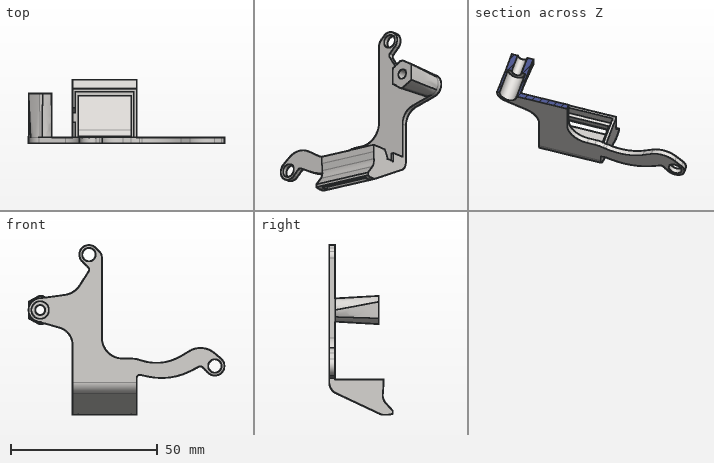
import cadquery as cq
import math


PLATE_THICKNESS = 2.0
PLATE_EDGE_X = 21.1
LOBE_RADIUS = 4.0
EYE_RADIUS = 3.3
EYE_HOLE_DIAMETER = 4.5
TOP_EYE = (16.63, 18.9)
SIDE_EYE = (59.6, -19.1)

PILLAR_END_Y = 17.0
PILLAR_HALF_WIDTH = 3.93
PILLAR_SIDE_HALF_HEIGHT = 2.83
PILLAR_TOP_HALF_HEIGHT = 4.86
PILLAR_TOP_FLAT_X = (-0.24, 0.84)
SCREW_DIAMETER = 3.3
SCREW_HEAD_DIAMETER = 6.0
SCREW_HEAD_DEPTH = 10.0

DUCT_LEFT_X = 11.0
DUCT_WIDTH = 22.0
DUCT_RIGHT_X = DUCT_LEFT_X + DUCT_WIDTH
DUCT_TOP_Z = -23.64
DUCT_BOTTOM_Z = -35.76
DUCT_BACK_Y = 18.55
RIM_WALL = 1.0
LEDGE_INSET = 2.0
SEAT_DEPTH = 3.0
FLOOR_SLOPE = math.radians(25.2)
FLOOR_THICKNESS = 1.0
FLOOR_END_Y = 17.9
BEND_RADIUS = 4.17
WAIST = (18.37, -28.5)
WAIST_CURVE = (18.45, -30.05)
FLARE_START = (19.1, -31.45)
TAPER_START_Z = -26.0
NOZZLE_TIP_Y = 21.74
NOZZLE_TIP_TOP_Z = -34.4
NOZZLE_TIP_LOW_Z = -35.4
NOZZLE_TIP_CURVE = (20.9, -35.66)
NOZZLE_FLAT_END_Y = 20.0

LEDGE_Z = DUCT_TOP_Z - SEAT_DEPTH
PASSAGE_FRONT_Y = 2.42
PASSAGE_FLOOR_START_Y = 4.67
PASSAGE_BACK_Y = 16.13
PASSAGE_BACK_CURVE = (16.95, -29.5)
PASSAGE_FLARE_START = (18.5, -32.0)
OUTLET_BACK_Y = 20.95

NOTCH_FRONT_Y = 7.22
NOTCH_FLOOR_BACK_Y = 10.48
NOTCH_TOP_BACK_Y = 12.14

CONVEX = 1
CONCAVE = -1


def polar(center, radius, angle):
    """Point at a signed radius and an angle from a centre."""
    return (center[0] + radius * math.cos(angle), center[1] + radius * math.sin(angle))


def tangent_normal(first, second):
    """Angle of the outward normal of the straight edge that joins two rounded corners."""
    (x0, z0), radius0, side0 = first
    (x1, z1), radius1, side1 = second
    distance = math.hypot(x1 - x0, z1 - z0)
    offset = (side0 * radius0 - side1 * radius1) / distance
    return math.atan2(z1 - z0, x1 - x0) + math.acos(offset)


def rounded_outline(corners):
    """Closed clockwise XZ outline of arcs joined by their common tangent lines."""
    count = len(corners)
    normals = [tangent_normal(corners[i], corners[(i + 1) % count]) for i in range(count)]
    outline = None
    for i, (center, radius, side) in enumerate(corners):
        start_angle = normals[i - 1]
        sweep = (side * (start_angle - normals[i])) % (2 * math.pi)
        start = polar(center, side * radius, start_angle)
        middle = polar(center, side * radius, start_angle - side * sweep / 2)
        end = polar(center, side * radius, normals[i])
        if outline is None:
            outline = cq.Workplane("XZ").moveTo(*start)
        else:
            outline = outline.lineTo(*start)
        if radius > 0:
            outline = outline.threePointArc(middle, end)
    return outline.close()


def make_plate():
    upright_corner_radius = 3.0
    elbow_radius = 7.0
    lower_fillet_radius = 6.0
    arm_fillet_radius = 1.0
    corners = [
        ((0, 0), LOBE_RADIUS, CONVEX),
        ((7.54, 12.14), 7.0, CONCAVE),
        ((15.69, 13.77), 1.0, CONCAVE),
        (TOP_EYE, EYE_RADIUS, CONVEX),
        ((PLATE_EDGE_X - upright_corner_radius, 17.85), upright_corner_radius, CONVEX),
        ((PLATE_EDGE_X + elbow_radius, -9.5), elbow_radius, CONCAVE),
        ((30.85, -26.5), 10.0, CONVEX),
        ((39.65, -1.7), 16.3, CONCAVE),
        ((54.7, -20.2), 7.3, CONVEX),
        (SIDE_EYE, EYE_RADIUS, CONVEX),
        ((54.67, -20.25), 1.0, CONCAVE),
        ((41.4, -1.6), 21.65, CONVEX),
        ((DUCT_RIGHT_X + arm_fillet_radius, -23.15), arm_fillet_radius, CONCAVE),
        ((DUCT_RIGHT_X, DUCT_TOP_Z), 0, CONVEX),
        ((DUCT_LEFT_X, DUCT_TOP_Z), 0, CONVEX),
        ((DUCT_LEFT_X - lower_fillet_radius, -11.85), lower_fillet_radius, CONCAVE),
    ]
    return rounded_outline(corners).extrude(-PLATE_THICKNESS)


def make_pillar():
    """Tapered pillar from a round foot on the plate to an eight-sided end."""
    flat_left, flat_right = PILLAR_TOP_FLAT_X
    upper_half = [
        (PILLAR_HALF_WIDTH, PILLAR_SIDE_HALF_HEIGHT),
        (flat_right, PILLAR_TOP_HALF_HEIGHT),
        (flat_left, PILLAR_TOP_HALF_HEIGHT),
        (-PILLAR_HALF_WIDTH, PILLAR_SIDE_HALF_HEIGHT),
    ]
    lower_half = [(x, -z) for x, z in reversed(upper_half)]
    return (
        cq.Workplane("XZ", origin=(0, PLATE_THICKNESS, 0))
        .circle(LOBE_RADIUS)
        .workplane(offset=PLATE_THICKNESS - PILLAR_END_Y)
        .polyline(upper_half + lower_half)
        .close()
        .loft(combine=True)
    )


def drill(diameter, center, depth):
    """Round cutter along Y that starts at the front face of the plate."""
    return cq.Workplane("XZ").center(*center).circle(diameter / 2).extrude(-depth)


def duct_section(left_x):
    """YZ sketch plane at the given X."""
    return cq.Workplane("YZ", origin=(left_x, 0, 0))


def floor_height(y):
    """Z of the outer sloping face of the duct floor."""
    return DUCT_BOTTOM_Z + (FLOOR_END_Y - y) * math.tan(FLOOR_SLOPE)


def make_duct_body():
    bend_end_y = BEND_RADIUS * (1 - math.sin(FLOOR_SLOPE))
    bend_end_z = floor_height(bend_end_y)
    bend_start_z = bend_end_z + BEND_RADIUS * math.cos(FLOOR_SLOPE)
    bend_middle_angle = math.pi + (math.pi / 2 - FLOOR_SLOPE) / 2
    bend_middle = polar((BEND_RADIUS, bend_start_z), BEND_RADIUS, bend_middle_angle)
    return (
        duct_section(DUCT_LEFT_X)
        .moveTo(0, DUCT_TOP_Z)
        .lineTo(DUCT_BACK_Y, DUCT_TOP_Z)
        .lineTo(DUCT_BACK_Y, TAPER_START_Z)
        .lineTo(*WAIST)
        .threePointArc(WAIST_CURVE, FLARE_START)
        .lineTo(NOZZLE_TIP_Y, NOZZLE_TIP_TOP_Z)
        .lineTo(NOZZLE_TIP_Y, NOZZLE_TIP_LOW_Z)
        .threePointArc(NOZZLE_TIP_CURVE, (NOZZLE_FLAT_END_Y, DUCT_BOTTOM_Z))
        .lineTo(FLOOR_END_Y, DUCT_BOTTOM_Z)
        .lineTo(bend_end_y, bend_end_z)
        .threePointArc(bend_middle, (0, bend_start_z))
        .close()
        .extrude(DUCT_WIDTH)
    )


def make_fan_seat():
    """Rectangular recess in the top of the duct, stopping at the ledge."""
    length = DUCT_BACK_Y - RIM_WALL - PLATE_THICKNESS
    width = DUCT_WIDTH - 2 * RIM_WALL
    corner = (DUCT_LEFT_X + RIM_WALL, PLATE_THICKNESS, LEDGE_Z)
    return cq.Workplane("XY", origin=corner).box(width, length, SEAT_DEPTH, centered=False)


def make_air_passage():
    """Cutter from the ledge down to the outlet slot in the bottom of the nozzle."""
    floor_rise = FLOOR_THICKNESS / math.cos(FLOOR_SLOPE)
    floor_start = (PASSAGE_FLOOR_START_Y, floor_height(PASSAGE_FLOOR_START_Y) + floor_rise)
    lip = (
        FLOOR_END_Y + FLOOR_THICKNESS * math.sin(FLOOR_SLOPE),
        DUCT_BOTTOM_Z + FLOOR_THICKNESS * math.cos(FLOOR_SLOPE),
    )
    return (
        duct_section(DUCT_LEFT_X + LEDGE_INSET)
        .moveTo(FLOOR_END_Y, DUCT_BOTTOM_Z)
        .lineTo(*lip)
        .lineTo(*floor_start)
        .tangentArcPoint((PASSAGE_FRONT_Y, LEDGE_Z), relative=False)
        .lineTo(PASSAGE_BACK_Y, LEDGE_Z)
        .threePointArc(PASSAGE_BACK_CURVE, PASSAGE_FLARE_START)
        .lineTo(OUTLET_BACK_Y, DUCT_BOTTOM_Z)
        .close()
        .extrude(DUCT_WIDTH - 2 * LEDGE_INSET)
    )


def make_cable_notch():
    return (
        duct_section(DUCT_LEFT_X)
        .moveTo(NOTCH_FRONT_Y, DUCT_TOP_Z)
        .lineTo(NOTCH_TOP_BACK_Y, DUCT_TOP_Z)
        .lineTo(NOTCH_FLOOR_BACK_Y, LEDGE_Z)
        .lineTo(NOTCH_FRONT_Y, LEDGE_Z)
        .close()
        .extrude(RIM_WALL)
    )


def make_duct():
    return make_duct_body().cut(make_fan_seat()).cut(make_air_passage()).cut(make_cable_notch())


result = make_plate().union(make_pillar()).union(make_duct())
result = result.cut(drill(SCREW_DIAMETER, (0, 0), PILLAR_END_Y))
result = result.cut(drill(SCREW_HEAD_DIAMETER, (0, 0), SCREW_HEAD_DEPTH))
for eye in (TOP_EYE, SIDE_EYE):
    result = result.cut(drill(EYE_HOLE_DIAMETER, eye, PLATE_THICKNESS))